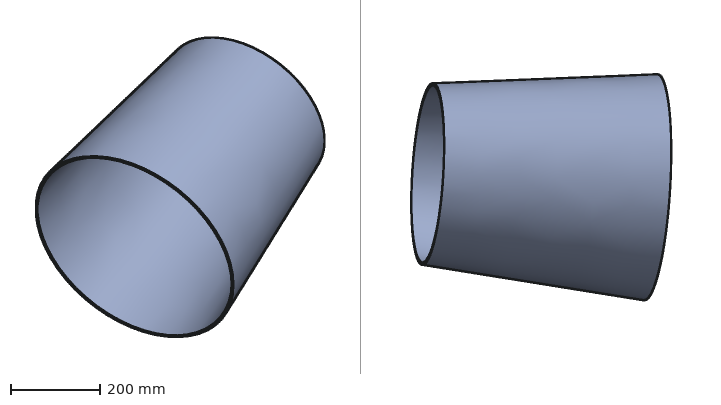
import cadquery as cq

length = 508.0
large_diameter = 508.0
small_diameter = 408.0
wall = 5.0

large_radius = large_diameter / 2
small_radius = small_diameter / 2

wall_section = [
    (large_radius - wall, -length / 2),
    (large_radius, -length / 2),
    (small_radius, length / 2),
    (small_radius - wall, length / 2),
]

result = cq.Workplane("XY").polyline(wall_section).close().revolve(360, (0, 0, 0), (0, 1, 0))